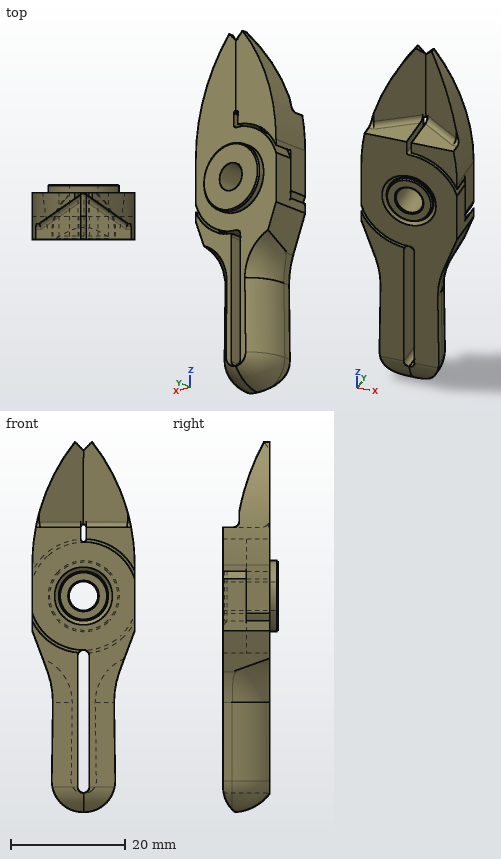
import cadquery as cq
import math


THICKNESS = 8.25
LENGTH = 64.95
TIP_Z = 27.0
BODY_WIDTH = 18.0
BODY_TOP_Z = 5.45
BODY_BOTTOM_Z = -6.1
TIP_X = 1.5
NOTCH_Z = 25.5
SHOULDER_X = 6.3
SHOULDER_Z = -13.3
HANDLE_TOP_X = 5.4
HANDLE_TOP_Z = -18.65
END_RADIUS = 5.6

HUB_RADIUS = 9.5
HUB_GAP = 0.5
PIN_RADIUS = 4.35
PIN_BORE_RADIUS = 2.55
PIN_BORE_CHAMFER = 0.2
PIN_END_CHAMFER = 0.25
HOLE_CHAMFER = 0.7
HEAD_RADIUS = 6.25
HEAD_HEIGHT = 1.4
HEAD_CHAMFER = 0.25

JAW_SLOT_WIDTH = 0.9
JAW_SLOT_TOP_Z = 12.55
HANDLE_SLOT_WIDTH = 2.0
HANDLE_SLOT_BOTTOM_Z = -34.5

BEVEL_ANGLE = 35.0
BEVEL_END_X = 7.7
STEP_Z = 12.1
STEP_FILLET = 1.0

FLAT_SIDE = 1.55
ROUND_RADIUS = 8.3
ROUND_RISE = 2.4
ROUND_SECTIONS = 5
NOSE_Z = -33.45
NOSE_RADIUS = 5.65
NOSE_TRIM = 0.025

MARGIN = 3.25
BACK_Y = THICKNESS / 2
FRONT_Y = -BACK_Y
HALF_WIDTH = BODY_WIDTH / 2
BOTTOM_Z = TIP_Z - LENGTH - NOSE_TRIM
END_Z = BOTTOM_Z + END_RADIUS
FLAT_Y = FRONT_Y + FLAT_SIDE
OUTSIDE_X = HALF_WIDTH + MARGIN


def arc_middle(start, end):
    """Middle of the arc from start to end that is vertical at end."""
    dx = start[0] - end[0]
    dz = start[1] - end[1]
    radius = (dx**2 + dz**2) / (2 * abs(dx))
    half_angle = math.asin(abs(dz) / radius) / 2
    return (
        end[0] + math.copysign(radius * (1 - math.cos(half_angle)), dx),
        end[1] + math.copysign(radius * math.sin(half_angle), dz),
    )


def prism(sketch, y_from, y_to):
    """Extrude an X-Z sketch, drawn on the XZ plane, between two Y positions."""
    return sketch.extrude(y_from - y_to).translate((0, y_from, 0))


def mirrored_pair(body):
    return body.union(body.mirror("YZ"))


def blank():
    """Plate with the outer shape of both jaws and handles together."""
    tip = (TIP_X, TIP_Z)
    body_top = (HALF_WIDTH, BODY_TOP_Z)
    shoulder = (SHOULDER_X, SHOULDER_Z)
    handle_top = (HANDLE_TOP_X, HANDLE_TOP_Z)
    end_diagonal = END_RADIUS * math.sqrt(0.5)
    half = (
        cq.Workplane("XZ")
        .moveTo(0, NOTCH_Z)
        .lineTo(*tip)
        .threePointArc(arc_middle(tip, body_top), body_top)
        .lineTo(HALF_WIDTH, BODY_BOTTOM_Z)
        .lineTo(*shoulder)
        .threePointArc(arc_middle(shoulder, handle_top), handle_top)
        .lineTo(END_RADIUS, END_Z)
        .threePointArc((end_diagonal, END_Z - end_diagonal), (0, BOTTOM_Z))
        .close()
    )
    return mirrored_pair(prism(half, FRONT_Y, BACK_Y))


def slot(width, bottom_z, top_z):
    """Round-ended slot through the thickness, centred on X = 0."""
    sketch = (
        cq.Workplane("XZ")
        .center(0, (bottom_z + top_z) / 2)
        .slot2D(top_z - bottom_z, width, 90)
    )
    return prism(sketch, FRONT_Y, BACK_Y)


def bevel_cutter():
    """Space in front of the bevelled face of the jaw at +X, above the step."""
    bevel_end_y = BACK_Y - BEVEL_END_X * math.tan(math.radians(BEVEL_ANGLE))
    return (
        cq.Workplane("XY")
        .workplane(offset=STEP_Z)
        .moveTo(0, BACK_Y)
        .lineTo(BEVEL_END_X, bevel_end_y)
        .lineTo(OUTSIDE_X, bevel_end_y)
        .lineTo(OUTSIDE_X, FRONT_Y - MARGIN)
        .lineTo(0, FRONT_Y - MARGIN)
        .close()
        .extrude(TIP_Z + MARGIN - STEP_Z)
    )


def jaw_faces_cutter():
    """Both bevels, filleted into the step except across the jaw slot."""
    sharp = bevel_cutter()
    filleted = sharp.faces("<Z").edges("not |Y").edges("not <Y").fillet(STEP_FILLET)
    slot_band = cq.Workplane("XY").box(JAW_SLOT_WIDTH, 2 * LENGTH, 2 * LENGTH)
    return mirrored_pair(filleted.union(sharp.intersect(slot_band)))


def round_inset(y):
    """How far the rounding has drawn in from the handle side at depth y."""
    return ROUND_RADIUS - math.sqrt(ROUND_RADIUS**2 - (y - FLAT_Y) ** 2)


def round_profile(edge_x, z):
    """Section outside the rounding of a handle whose side is at edge_x."""
    middle_y = (FLAT_Y + BACK_Y) / 2
    return (
        cq.Workplane("XY")
        .workplane(offset=z)
        .moveTo(edge_x, FLAT_Y)
        .threePointArc((edge_x - round_inset(middle_y), middle_y), (edge_x - round_inset(BACK_Y), BACK_Y))
        .lineTo(OUTSIDE_X, BACK_Y)
        .lineTo(OUTSIDE_X, FLAT_Y)
        .close()
    )


def round_start_section(y):
    """Section at depth y of the space where the rounding runs out into the shoulder."""
    climb = ROUND_RISE * (y - FLAT_Y) / (BACK_Y - FLAT_Y)
    shoulder_slope = (HALF_WIDTH - SHOULDER_X) / (BODY_BOTTOM_Z - SHOULDER_Z)
    start = (SHOULDER_X + shoulder_slope * climb, SHOULDER_Z + climb)
    end = (HANDLE_TOP_X - round_inset(y), HANDLE_TOP_Z)
    sketch = (
        cq.Workplane("XZ", origin=(0, y, 0))
        .moveTo(*start)
        .threePointArc(arc_middle(start, end), end)
        .lineTo(OUTSIDE_X, HANDLE_TOP_Z)
        .lineTo(OUTSIDE_X, start[1])
        .close()
    )
    return sketch.val()


def rounding_cutters():
    """Pieces of the space outside the rounded back edge of both handles."""
    depth_step = (BACK_Y - FLAT_Y) / (ROUND_SECTIONS - 1)
    sections = [round_start_section(FLAT_Y + i * depth_step) for i in range(ROUND_SECTIONS)]
    start = cq.Workplane(cq.Solid.makeLoft(sections))
    straight = cq.Workplane(
        cq.Solid.makeLoft(
            [round_profile(HANDLE_TOP_X, HANDLE_TOP_Z).val(), round_profile(END_RADIUS, END_Z).val()],
            True,
        )
    )
    end = round_profile(END_RADIUS, END_Z).revolve(180, (0, 0, 0), (0, 1, 0))
    return [start, start.mirror("YZ"), straight, straight.mirror("YZ"), end]


def nose_cutter():
    """Space outside the rolled front edge at the handles' lower end."""
    diagonal = NOSE_RADIUS * math.sqrt(0.5)
    centre_y = FRONT_Y + NOSE_RADIUS
    return (
        cq.Workplane("YZ")
        .moveTo(FRONT_Y, NOSE_Z)
        .threePointArc((centre_y - diagonal, NOSE_Z - diagonal), (centre_y, NOSE_Z - NOSE_RADIUS))
        .lineTo(FRONT_Y, NOSE_Z - NOSE_RADIUS)
        .close()
        .extrude(OUTSIDE_X, both=True)
    )


def pivot_cylinder(radius, y_from, y_to):
    return prism(cq.Workplane("XZ").circle(radius), y_from, y_to)


def pivot_hole():
    """Bore for the pin, opened by a chamfer at the front face."""
    bore = pivot_cylinder(PIN_RADIUS, FRONT_Y, BACK_Y)
    countersink = cq.Solid.makeCone(
        PIN_RADIUS + HOLE_CHAMFER,
        PIN_RADIUS,
        HOLE_CHAMFER,
        cq.Vector(0, FRONT_Y, 0),
        cq.Vector(0, 1, 0),
    )
    return bore.union(cq.Workplane(countersink))


def shaped_blank():
    """Both jaws and handles with every feature, before they are parted."""
    body = blank()
    body = body.cut(slot(JAW_SLOT_WIDTH, HUB_RADIUS, JAW_SLOT_TOP_Z))
    body = body.cut(slot(HANDLE_SLOT_WIDTH, HANDLE_SLOT_BOTTOM_Z, -HUB_RADIUS))
    body = body.cut(jaw_faces_cutter())
    for cutter in rounding_cutters():
        body = body.cut(cutter)
    return body.cut(nose_cutter()).cut(pivot_hole())


def quadrant(side, upward):
    """Full-depth block over one quarter of the tool."""
    block = cq.Workplane("XY").box(OUTSIDE_X, THICKNESS, LENGTH)
    return block.translate((side * OUTSIDE_X / 2, 0, upward * LENGTH / 2))


def jaw(side, hub_from, hub_to):
    """Jaw on one side, with its handle on the other and a hub of half thickness."""
    hub = pivot_cylinder(HUB_RADIUS, hub_from, hub_to)
    other_hub_room = pivot_cylinder(HUB_RADIUS + HUB_GAP, -hub_to, -hub_from)
    region = quadrant(side, 1).union(quadrant(-side, -1)).cut(other_hub_room).union(hub)
    return shaped_blank().intersect(region)


def pin():
    """Hollow rivet with its head on the back face."""
    shank = pivot_cylinder(PIN_RADIUS, FRONT_Y, BACK_Y).faces("<Y").chamfer(PIN_END_CHAMFER)
    head = pivot_cylinder(HEAD_RADIUS, BACK_Y, BACK_Y + HEAD_HEIGHT).faces(">Y").chamfer(HEAD_CHAMFER)
    bore = pivot_cylinder(PIN_BORE_RADIUS, FRONT_Y, BACK_Y + HEAD_HEIGHT)
    body = shank.union(head).cut(bore)
    bore_rim = cq.selectors.RadiusNthSelector(0)
    return body.faces("<Y").edges(bore_rim).chamfer(PIN_BORE_CHAMFER)


left_jaw = jaw(-1, FRONT_Y, 0).solids()
right_jaw = jaw(1, 0, BACK_Y).solids()
rivet = pin().solids()

result = cq.Compound.makeCompound([left_jaw.val(), right_jaw.val(), rivet.val()])